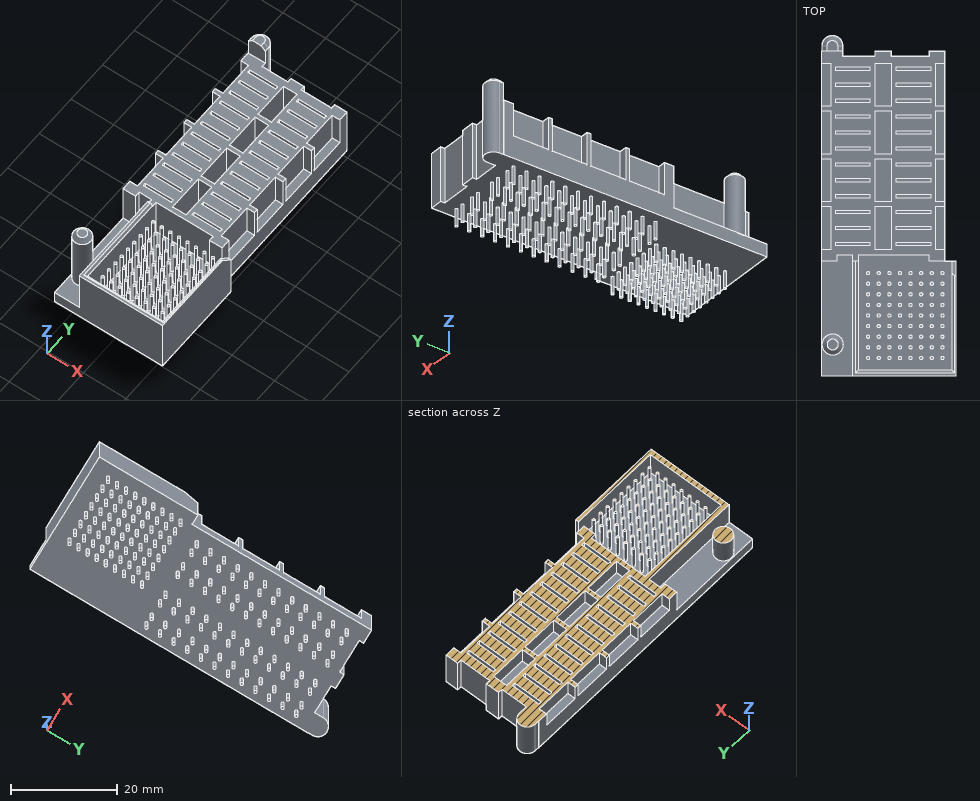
import cadquery as cq

total_width = 25.35
total_length = 64.15
ledge_height = 2.9
power_height = 12.2
shroud_height = 12.9

post_diameter = 4.0
post_radius = post_diameter / 2
post_height = 16.95
post_chamfer = 0.95
front_post_x = 2.1
rear_post_x = 2.05
front_post_y = 5.95
rear_post_y = total_length - post_radius

power_width = 23.2
power_center_x = power_width / 2
power_front = 21.7
power_rear = 61.2
rear_notch_depth = 0.95
front_notch_depth = 1.15
corner_width = 2.95
rib_width = 3.15

bay_count = 4
slots_per_bay = 3
row_count = bay_count * slots_per_bay
row_span = 33.0
row_pitch = row_span / (row_count - 1)
bay_pitch = row_pitch * slots_per_bay
bay_length = 8.1
bay_center_y = 41.4
bay_floor = 5.0
side_recess_depth = 1.8

slot_length = 6.55
slot_width = 0.6
slot_offset = 5.7
tail_offsets = (-3.45, -1.55, 1.55, 3.45)
tail_setback = 0.7

shroud_left = 5.85
left_wall = 1.1
front_wall = 1.15
right_wall = 0.8
lead_in = 0.5
right_wall_corner_cut = 2.8

pin_diameter = 0.6
pin_top = 11.2
tail_length = 3.8
signal_columns = 8
signal_rows = 9
signal_span_x = 14.0
signal_span_y = 16.0
signal_center_x = 15.8
signal_center_y = 11.4


def box(x_min, x_max, y_min, y_max, z_min, z_max):
    """Box given by its limits along each axis."""
    size = (x_max - x_min, y_max - y_min, z_max - z_min)
    return cq.Workplane("XY").box(*size, centered=False).translate((x_min, y_min, z_min))


def spread(center, span, count):
    """Evenly spaced positions covering a span about a centre."""
    return [center + span * (i / (count - 1) - 0.5) for i in range(count)]


slot_rows = spread(bay_center_y, row_span, row_count)
bay_centers = spread(bay_center_y, bay_pitch * (bay_count - 1), bay_count)
slot_centers = [power_center_x - slot_offset, power_center_x + slot_offset]


def power_block():
    """Slotted block with notched ends."""
    block = box(0, power_width, power_front, power_rear, 0, power_height)

    notch_front = power_rear - rear_notch_depth
    rib_left = power_center_x - rib_width / 2
    rib_right = power_center_x + rib_width / 2
    for left, right in ((rear_post_x + post_radius, rib_left), (rib_right, power_width - corner_width)):
        block = block.cut(box(left, right, notch_front, power_rear, 0, power_height))

    notch_rear = power_front + front_notch_depth
    block = block.cut(
        box(corner_width, power_width - corner_width, power_front, notch_rear, ledge_height, power_height)
    )
    stub = box(shroud_left, shroud_left + left_wall, power_front, notch_rear, ledge_height, power_height)
    block = block.union(stub)

    for y in bay_centers:
        bay_limits = (y - bay_length / 2, y + bay_length / 2, bay_floor, power_height)
        block = block.cut(box(0, side_recess_depth, *bay_limits))
        block = block.cut(box(rib_left, rib_right, *bay_limits))
        block = block.cut(box(power_width - side_recess_depth, power_width, *bay_limits))

    slot_points = [(x, y) for x in slot_centers for y in slot_rows]
    slots = (
        cq.Workplane("XY", origin=(0, 0, bay_floor))
        .pushPoints(slot_points)
        .rect(slot_length, slot_width)
        .extrude(power_height - bay_floor)
    )
    return block.cut(slots)


def signal_shroud():
    """Base plate with a three-sided wall, open towards the power block."""
    inner_left = shroud_left + left_wall
    inner_right = total_width - right_wall
    base = box(0, total_width, 0, power_front, 0, ledge_height)
    walls = box(shroud_left, total_width, 0, power_front, ledge_height, shroud_height)
    cavity = box(inner_left, inner_right, front_wall, power_front, ledge_height, shroud_height)
    walls = walls.cut(cavity)

    mouth_rear = power_front + front_wall
    mouth_width = inner_right - inner_left
    mouth_length = mouth_rear - front_wall
    mouth = (
        cq.Workplane("XY", origin=((inner_left + inner_right) / 2, (front_wall + mouth_rear) / 2, 0))
        .workplane(offset=shroud_height - lead_in)
        .rect(mouth_width, mouth_length)
        .workplane(offset=lead_in)
        .rect(mouth_width + 2 * lead_in, mouth_length + 2 * lead_in)
        .loft(ruled=True)
    )
    walls = walls.cut(mouth)

    corner_cut = (
        cq.Workplane("YZ", origin=(inner_right - lead_in, 0, 0))
        .moveTo(power_front, shroud_height)
        .lineTo(power_front - right_wall_corner_cut, shroud_height)
        .lineTo(power_front, shroud_height - right_wall_corner_cut)
        .close()
        .extrude(right_wall + lead_in)
    )
    return base.union(walls.cut(corner_cut))


def front_post():
    """Round post standing on the ledge beside the shroud."""
    post = cq.Workplane("XY").circle(post_radius).extrude(post_height).faces(">Z").chamfer(post_chamfer)
    return post.translate((front_post_x, front_post_y, 0))


def rear_post():
    """Half-round post with short straight flanks, standing against the rear face of the block."""
    round_end = cq.Workplane("XY").circle(post_radius).extrude(post_height)
    round_end = round_end.faces(">Z").chamfer(post_chamfer)
    round_end = round_end.intersect(box(-post_radius, post_radius, 0, post_radius, 0, post_height))
    flank_length = rear_post_y - power_rear
    flanks = box(-post_radius, post_radius, -flank_length, 0, 0, post_height)
    flanks = flanks.faces(">Z").edges("|Y").chamfer(post_chamfer)
    return flanks.union(round_end).translate((rear_post_x, rear_post_y, 0))


def round_pins(points, top):
    """Round pins from the tail tips up to a given height."""
    return (
        cq.Workplane("XY", origin=(0, 0, -tail_length))
        .pushPoints(points)
        .circle(pin_diameter / 2)
        .extrude(tail_length + top)
    )


signal_points = [
    (x, y)
    for x in spread(signal_center_x, signal_span_x, signal_columns)
    for y in spread(signal_center_y, signal_span_y, signal_rows)
]
power_tail_points = [
    (x + offset, y - tail_setback) for x in slot_centers for offset in tail_offsets for y in slot_rows
]

result = power_block().union(signal_shroud())
result = result.union(front_post()).union(rear_post())
result = result.union(round_pins(signal_points, pin_top))
result = result.union(round_pins(power_tail_points, ledge_height))